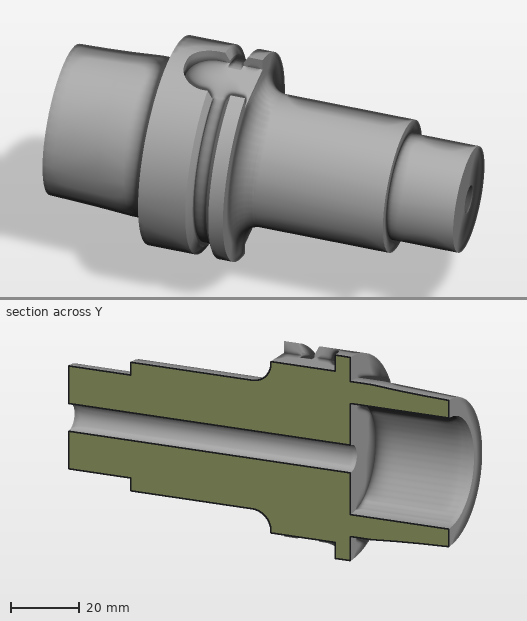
import cadquery as cq

shank_taper_end = 25.5
collar_start = 32.0
collar_end = 58.0
body_end = 103.6
total_length = 123.9

shank_tip_radius = 22.7
shank_radius = 24.0
collar_radius = 31.5
body_radius = 20.0
nose_radius = 16.0
neck_fillet = 6.0

groove_start = 48.0
groove_end = 52.0
groove_radius = 27.4
groove_bevel_width = 1.5
groove_bevel_depth = 2.6

cavity_radius = 17.1
cavity_depth = collar_start
through_radius = 4.2

slot_start = 37.0
slot_width = 17.8
slot_corner_radius = 7.9
slot_floor = 26.5


def make_body():
    """Revolve the stepped outer profile about X."""
    bevel_foot = collar_radius - groove_bevel_depth
    return (
        cq.Workplane("XY")
        .moveTo(0, 0)
        .lineTo(0, shank_tip_radius)
        .lineTo(shank_taper_end, shank_radius)
        .lineTo(collar_start, shank_radius)
        .lineTo(collar_start, collar_radius)
        .lineTo(groove_start - groove_bevel_width, collar_radius)
        .lineTo(groove_start, bevel_foot)
        .lineTo(groove_start, groove_radius)
        .lineTo(groove_end, groove_radius)
        .lineTo(groove_end, bevel_foot)
        .lineTo(groove_end + groove_bevel_width, collar_radius)
        .lineTo(collar_end, collar_radius)
        .lineTo(collar_end, body_radius + neck_fillet)
        .radiusArc((collar_end + neck_fillet, body_radius), -neck_fillet)
        .lineTo(body_end, body_radius)
        .lineTo(body_end, nose_radius)
        .lineTo(total_length, nose_radius)
        .lineTo(total_length, 0)
        .close()
        .revolve(360, (0, 0, 0), (1, 0, 0))
    )


def make_bore(radius, depth):
    """Cylinder on the X axis, starting at the shank tip."""
    return cq.Workplane("YZ").circle(radius).extrude(depth)


def make_drive_slot():
    """Upper slot cutter with rounded corners at its closed end."""
    slot_length = collar_end - slot_start
    slot_height = collar_radius - slot_floor
    return (
        cq.Workplane("XY")
        .box(slot_length, slot_width, slot_height, centered=(False, True, False))
        .edges("|Z and <X")
        .fillet(slot_corner_radius)
        .translate((slot_start, 0, slot_floor))
    )


result = make_body()
result = result.cut(make_bore(cavity_radius, cavity_depth))
result = result.cut(make_bore(through_radius, total_length))
for angle in (0, 180):
    result = result.cut(make_drive_slot().rotate((0, 0, 0), (1, 0, 0), angle))